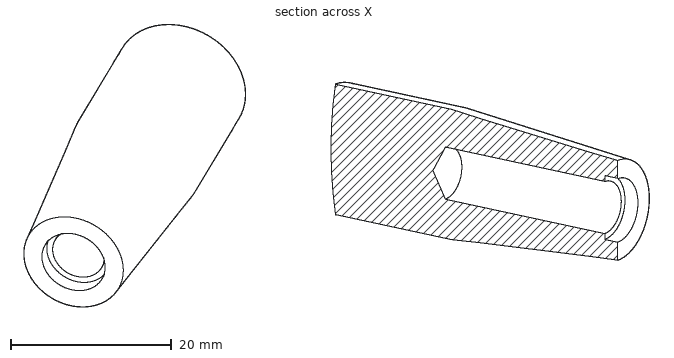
import cadquery as cq
import math

length = 44.9
grip_diameter = 17.0
end_diameter = 13.02
taper_length = 26.05
dome_height = 0.7

counterbore_diameter = 8.25
counterbore_depth = 2.0
bore_diameter = 6.75
bore_depth = 26.95
drill_point_angle = 120.0


def make_body():
    grip_radius = grip_diameter / 2
    shoulder = length - dome_height
    dome_radius = (grip_radius**2 + dome_height**2) / (2 * dome_height)
    half_angle = math.asin(grip_radius / dome_radius) / 2
    dome_middle = (
        dome_radius * math.sin(half_angle),
        length - dome_radius * (1 - math.cos(half_angle)),
    )
    return (
        cq.Workplane("XY")
        .lineTo(end_diameter / 2, 0)
        .lineTo(grip_radius, taper_length)
        .lineTo(grip_radius, shoulder)
        .threePointArc(dome_middle, (0, length))
        .close()
        .revolve(360, (0, 0), (0, 1))
    )


def make_bore():
    bore_radius = bore_diameter / 2
    counterbore_radius = counterbore_diameter / 2
    point_height = bore_radius / math.tan(math.radians(drill_point_angle / 2))
    return (
        cq.Workplane("XY")
        .lineTo(counterbore_radius, 0)
        .lineTo(counterbore_radius, counterbore_depth)
        .lineTo(bore_radius, counterbore_depth)
        .lineTo(bore_radius, bore_depth)
        .lineTo(0, bore_depth + point_height)
        .close()
        .revolve(360, (0, 0), (0, 1))
    )


result = make_body().cut(make_bore())